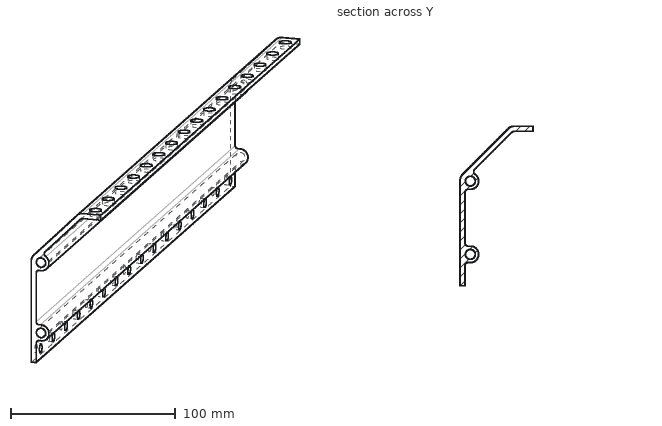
import cadquery as cq
import math

length = 400.05
depth = 44.45
height = 96.8375
thickness = 3.175

bend_angle = math.radians(45)
lower_bend_radius = 6.35
upper_bend_radius = 5.08
upper_bend_inner_radius = 3.175
lower_bend_start = 63.5
lower_bend_setback = lower_bend_radius * math.tan(bend_angle / 2)
lower_corner_z = lower_bend_start + lower_bend_setback
upper_corner_x = height - lower_corner_z
inner_corner_shift = thickness * math.tan(bend_angle / 2)

boss_x = lower_bend_radius
boss_heights = (19.05, lower_bend_start)
boss_outer_diameter = 10.16
boss_bore_diameter = 5.87
boss_blend_radius = 2.0

hole_count = 16
hole_pitch = 25.4
hole_edge_distance = 6.35
wall_hole_diameter = 5.33
flange_hole_diameter = 7.11


def round_edge(body, x, z, radius):
    """Fillet the lengthwise edge that passes through (x, z)."""
    tolerance = 0.01
    edge_box = cq.selectors.BoxSelector(
        (x - tolerance, -length, z - tolerance),
        (x + tolerance, length, z + tolerance),
    )
    return body.edges(edge_box).fillet(radius)


def make_bent_strip():
    """Wall, sloping web and top flange with rounded bends, centred on Y."""
    outline = [
        (0, 0),
        (0, lower_corner_z),
        (upper_corner_x, height),
        (depth, height),
        (depth, height - thickness),
        (upper_corner_x + inner_corner_shift, height - thickness),
        (thickness, lower_corner_z - inner_corner_shift),
        (thickness, 0),
    ]
    strip = cq.Workplane("XZ").polyline(outline).close().extrude(length / 2, both=True)
    inner_lower_z = lower_corner_z - inner_corner_shift
    inner_upper_x = upper_corner_x + inner_corner_shift
    strip = round_edge(strip, 0, lower_corner_z, lower_bend_radius)
    strip = round_edge(strip, thickness, inner_lower_z, lower_bend_radius - thickness)
    strip = round_edge(strip, upper_corner_x, height, upper_bend_radius)
    return round_edge(strip, inner_upper_x, height - thickness, upper_bend_inner_radius)


def make_rods(diameter):
    """Full-length round bars on the boss axes."""
    centres = [(boss_x, z) for z in boss_heights]
    return (
        cq.Workplane("XZ").pushPoints(centres).circle(diameter / 2).extrude(length / 2, both=True)
    )


def blend_bosses(body):
    """Fillet the corners where the bosses run into the wall and the sloping web."""
    wall_offset = boss_x - thickness
    half_chord = math.sqrt((boss_outer_diameter / 2) ** 2 - wall_offset**2)
    for z in boss_heights:
        body = round_edge(body, thickness, z - half_chord, boss_blend_radius)
    lower_boss_z, upper_boss_z = boss_heights
    body = round_edge(body, thickness, lower_boss_z + half_chord, boss_blend_radius)

    web_x = boss_x - wall_offset * math.cos(bend_angle) + half_chord * math.sin(bend_angle)
    web_z = upper_boss_z + wall_offset * math.sin(bend_angle) + half_chord * math.cos(bend_angle)
    return round_edge(body, web_x, web_z, boss_blend_radius)


def hole_positions():
    """Y positions of one row of holes, centred on the length."""
    first = -hole_pitch * (hole_count - 1) / 2
    return [first + i * hole_pitch for i in range(hole_count)]


def make_wall_drills():
    """Cutters for the holes along the bottom of the wall."""
    points = [(y, hole_edge_distance) for y in hole_positions()]
    return cq.Workplane("YZ").pushPoints(points).circle(wall_hole_diameter / 2).extrude(thickness)


def make_flange_drills():
    """Cutters for the holes along the free edge of the flange."""
    points = [(depth - hole_edge_distance, y) for y in hole_positions()]
    return (
        cq.Workplane("XY", origin=(0, 0, height - thickness))
        .pushPoints(points)
        .circle(flange_hole_diameter / 2)
        .extrude(thickness)
    )


result = (
    blend_bosses(make_bent_strip().union(make_rods(boss_outer_diameter)))
    .cut(make_rods(boss_bore_diameter))
    .cut(make_wall_drills())
    .cut(make_flange_drills())
)